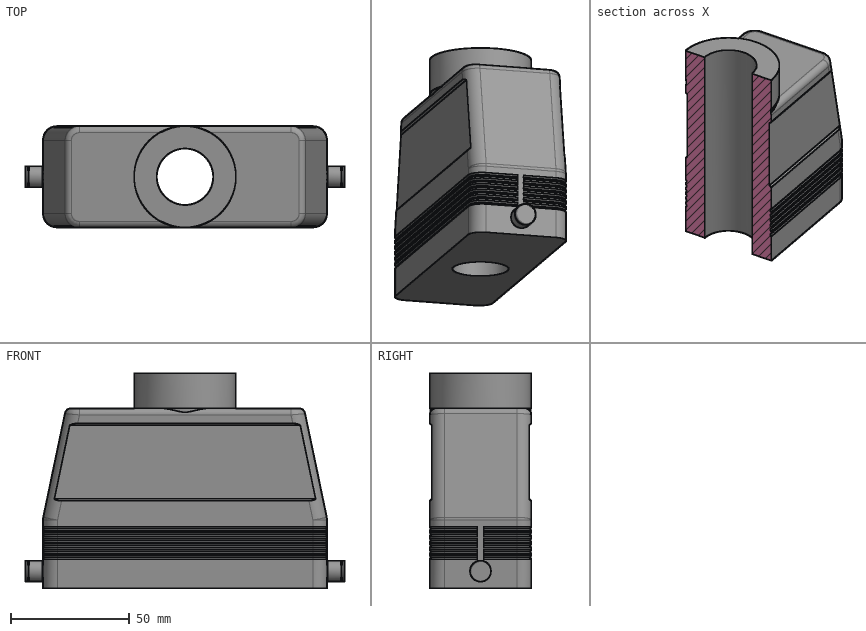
import cadquery as cq
import math

overall_length = 135.0
body_length = 120.2
body_depth = 42.9
shoulder_height = 29.5
body_height = 76.1
end_wall_draft = 11.8
corner_radius = 6.1
shoulder_radius = 6.0
top_edge_radius = 2.7

total_height = 91.0
neck_diameter = 43.0
neck_foot_diameter = 42.5
bore_diameter = 23.8

panel_bottom = 37.0
panel_top = 69.8
panel_recess = 0.8

groove_count = 6
groove_pitch = 2.4
groove_width = 1.6
groove_depth = 0.5
first_groove_bottom = 12.3
end_rib_width = 2.5

pin_diameter = 8.9
pin_core_diameter = 5.4
pin_height = 7.3
pin_head_length = 1.2
pin_gap = 0.3
pin_head_edge_radius = 0.3


def make_body():
    """Solid hood with rounded shoulders, corners and top edges."""
    half_base = body_length / 2
    taper_height = body_height - shoulder_height
    half_top = half_base - taper_height * math.tan(math.radians(end_wall_draft))
    outline = [
        (-half_base, 0),
        (half_base, 0),
        (half_base, shoulder_height),
        (half_top, body_height),
        (-half_top, body_height),
        (-half_base, shoulder_height),
    ]
    body = cq.Workplane("XZ").polyline(outline).close().extrude(body_depth / 2, both=True)
    above_base_below_top = cq.selectors.BoxSelector(
        (-body_length, -body_depth, shoulder_height / 2),
        (body_length, body_depth, (shoulder_height + body_height) / 2),
    )
    body = body.edges("|Y").edges(above_base_below_top).fillet(shoulder_radius)
    body = body.edges("not (|X or |Y)").fillet(corner_radius)
    return body.faces(">Z").edges().fillet(top_edge_radius)


def make_panel_cut(side):
    """Recess across one long face, with 45 degree walls above and below; side is -1 or 1."""
    face = side * body_depth / 2
    floor = face - side * panel_recess
    section = [
        (face, panel_bottom),
        (floor, panel_bottom + panel_recess),
        (floor, panel_top - panel_recess),
        (face, panel_top),
    ]
    return cq.Workplane("YZ").polyline(section).close().extrude(body_length / 2, both=True)


def rounded_block(base_z, height, taper=0.0):
    """Block with the base's rounded plan, starting at base_z and narrowing upward by the taper angle."""
    plan = cq.Sketch().rect(body_length, body_depth).vertices().fillet(corner_radius)
    return cq.Workplane("XY", origin=(0, 0, base_z)).placeSketch(plan).extrude(height, taper=taper)


def make_groove(bottom_z):
    """V-shaped ring, interrupted by a flush rib in the middle of each end."""
    half_width = groove_width / 2
    flank_angle = math.degrees(math.atan2(groove_depth, half_width))
    middle_z = bottom_z + half_width
    lower_core = rounded_block(bottom_z, half_width, taper=flank_angle)
    upper_core = lower_core.mirror("XY", (0, 0, middle_z))
    end_rib = cq.Workplane("XY").box(body_length, end_rib_width, groove_width)
    end_rib = end_rib.translate((0, 0, middle_z))
    return rounded_block(bottom_z, groove_width).cut(lower_core).cut(upper_core).cut(end_rib)


def end_disc(start_x, end_x, diameter):
    """Cylinder along X on the pin axis."""
    plane = cq.Workplane("YZ", origin=(start_x, 0, pin_height))
    return plane.circle(diameter / 2).extrude(end_x - start_x)


def make_pin(side):
    """Pin standing out from one end wall; side is -1 or 1."""
    wall_x = body_length / 2
    tip_x = overall_length / 2
    head_x = tip_x - pin_head_length
    core_root_x = wall_x - pin_core_diameter / 2
    head = end_disc(head_x, tip_x, pin_diameter).faces(">X").edges().fillet(pin_head_edge_radius)
    sleeve = end_disc(wall_x + pin_gap, head_x - pin_gap, pin_diameter)
    core = end_disc(core_root_x, head_x, pin_core_diameter)
    pin = core.union(sleeve).union(head)
    return pin if side > 0 else pin.mirror("YZ")


def cylinder_z(bottom_z, top_z, diameter):
    """Upright cylinder on the body's centre line."""
    return cq.Workplane("XY", origin=(0, 0, bottom_z)).circle(diameter / 2).extrude(top_z - bottom_z)


result = make_body()

for groove_index in range(groove_count):
    result = result.cut(make_groove(first_groove_bottom + groove_index * groove_pitch))

for side in (-1, 1):
    result = result.cut(make_panel_cut(side))
    result = result.union(make_pin(side))

neck = cylinder_z(body_height, total_height, neck_diameter)
neck_foot = cylinder_z(panel_top, body_height, neck_foot_diameter)
bore = cylinder_z(0, total_height, bore_diameter)
result = result.union(neck_foot).union(neck).cut(bore)